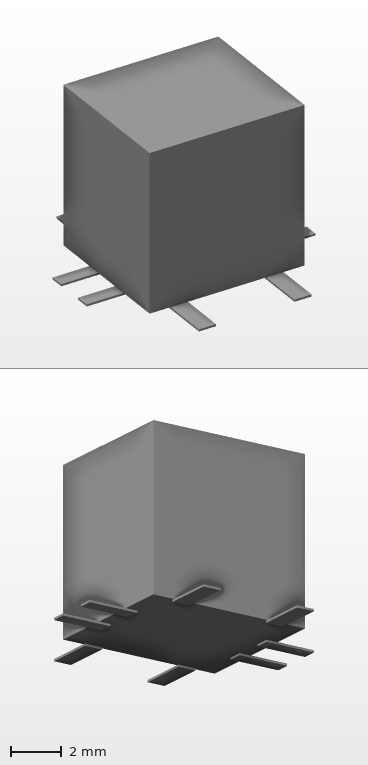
import cadquery as cq

span_x = 10.6
span_y = 10.64
overall_height = 7.4

body_x = 6.42
body_y = 7.21

lead_thickness = 0.1
side_lead_length = 2.2
side_lead_width = 0.8
side_lead_pitch = 4.45
end_lead_length = 2.26
end_lead_width = 0.64
end_lead_pitch = 1.89

body_height = overall_height - lead_thickness


def make_body():
    """Plain block whose underside lies on the lead tops."""
    return (
        cq.Workplane("XY")
        .workplane(offset=lead_thickness)
        .rect(body_x, body_y)
        .extrude(body_height)
    )


def make_lead(size_x, size_y, center_x, center_y):
    """Flat rectangular strip standing on Z = 0."""
    return (
        cq.Workplane("XY")
        .center(center_x, center_y)
        .rect(size_x, size_y)
        .extrude(lead_thickness)
    )


body = make_body()

side_lead_x = (span_x - side_lead_length) / 2
end_lead_y = (span_y - end_lead_length) / 2
side_leads = []
end_leads = []
for sign_x in (-1, 1):
    for sign_y in (-1, 1):
        side_leads.append(
            make_lead(
                side_lead_length,
                side_lead_width,
                sign_x * side_lead_x,
                sign_y * side_lead_pitch / 2,
            )
        )
        end_leads.append(
            make_lead(
                end_lead_width,
                end_lead_length,
                sign_x * end_lead_pitch / 2,
                sign_y * end_lead_y,
            )
        )

leads = side_leads + end_leads
result = cq.Compound.makeCompound([body.val(), *[lead.val() for lead in leads]])